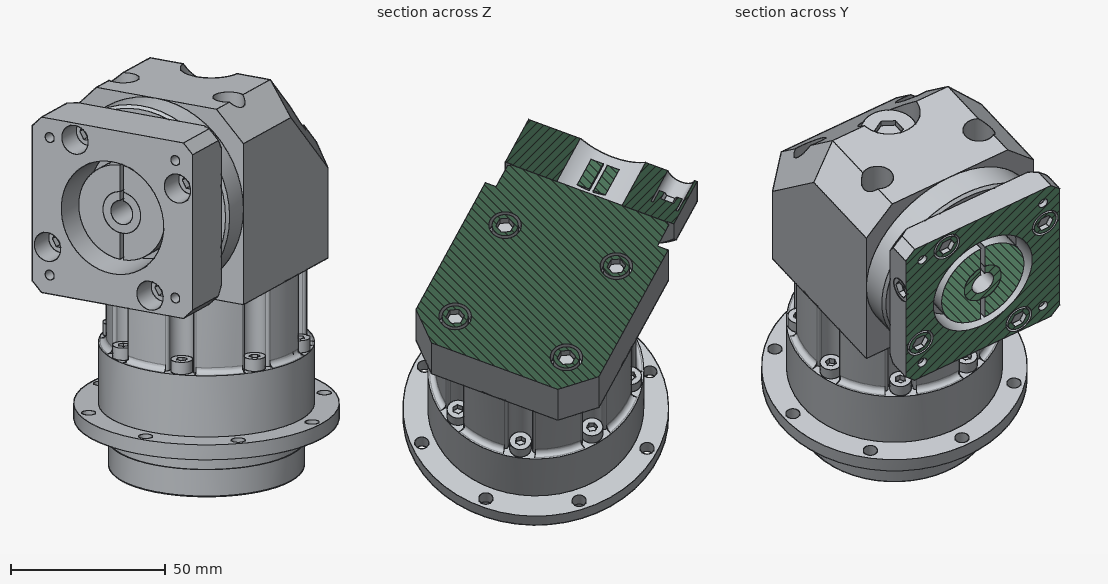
import cadquery as cq
import math

TOTAL_HEIGHT = 138.0

OUTPUT_DISC_DIAMETER = 39.9
OUTPUT_DISC_TOP = 3.0
OUTPUT_DISC_CHAMFER = 0.3
LOWER_DIAMETER = 63.5
LOWER_TOP = 12.5
LOWER_CHAMFER = 0.4
PILOT_DIAMETER = 64.0
FLANGE_DIAMETER = 86.0
FLANGE_BOTTOM = 19.6
FLANGE_THICKNESS = 5.1
FLANGE_HOLE_DIAMETER = 4.5
FLANGE_HOLE_CIRCLE_RADIUS = 39.5
FLANGE_HOLE_COUNT = 8
STAGE_DIAMETER = 70.0
STAGE_TOP = 45.5

RING_FOOT_FILLET = 2.0
RING_SCREW_COUNT = 8
RING_SCREW_FIRST_ANGLE = 15.0
RING_SCREW_CIRCLE_RADIUS = 31.0
RING_SCREW_HEAD_DIAMETER = 7.0
RING_SCREW_HEAD_HEIGHT = 4.1
RING_SCREW_HEX = 3.0
RING_SCREW_HEX_DEPTH = 2.1
SLOT_WIDTH = 8.0
SLOT_EDGE_FILLET = 1.0

ELBOW_SIZE = 65.0
ELBOW_SLOPE_LEG = 30.1
ELBOW_EDGE_CHAMFER = 10.1
COLLAR_LENGTH = 10.0
COLLAR_CHAMFER = 1.0
ELBOW_SCREW_OFFSET = 19.7
ELBOW_POCKET_DIAMETER = 10.4
ELBOW_POCKET_FLOOR = 85.5
FILL_PLUG_Y = 3.2
FILL_PLUG_DIAMETER = 18.1
FILL_PLUG_POCKET_DIAMETER = 20.1
FILL_PLUG_TOP = 130.0
FILL_PLUG_HEIGHT = 3.2
FILL_PLUG_HEX = 8.0
FILL_PLUG_HEX_DEPTH = 2.1

SCREW_HEAD_DIAMETER = 8.5
SCREW_HEAD_HEIGHT = 5.0
SCREW_HEX = 5.1
SCREW_HEX_DEPTH = 2.8

PLATE_SIZE = 59.9
PLATE_FRONT_Y = -61.0
PLATE_CORNER_CHAMFER = 3.5
PLATE_TURNED_RADIUS = 40.0
PLATE_TURNED_CHAMFER = 2.0
PLATE_BORE_DIAMETER = 38.2
PLATE_SCREW_CIRCLE_RADIUS = 28.0
PLATE_SCREW_COUNT = 4
PLATE_SCREW_FIRST_ANGLE = 30.0
PLATE_POCKET_DIAMETER = 9.8
PLATE_POCKET_DEPTH = 13.2
TAPPED_HOLE_OFFSET = 23.5
TAPPED_HOLE_DIAMETER = 3.3
TAPPED_HOLE_DEPTH = 11.0
DRILL_POINT_ANGLE = 118.0
SIDE_PLUG_DIAMETER = 8.3
SIDE_PLUG_RECESS = 0.1
SIDE_PLUG_Y = -48.7
SIDE_PLUG_RISE = 10.9
SIDE_PLUG_HEX = 5.1
SIDE_PLUG_HEX_DEPTH = 2.1

CLAMP_DIAMETER = 32.2
CLAMP_SETBACK = 6.1
CLAMP_SLIT_WIDTH = 1.4
CLAMP_BOSS_DIAMETER = 20.0
CLAMP_BOSS_LENGTH = 1.4
SHAFT_DIAMETER = 14.1
SHAFT_BORE_DIAMETER = 8.1
SHAFT_BORE_DEPTH = 13.8

RING_DIAMETER = ELBOW_SIZE
HALF_ELBOW = ELBOW_SIZE / 2
ELBOW_BOTTOM = TOTAL_HEIGHT - ELBOW_SIZE
INPUT_AXIS_Z = ELBOW_BOTTOM + HALF_ELBOW
COLLAR_FRONT_Y = -HALF_ELBOW - COLLAR_LENGTH
PLATE_THICKNESS = COLLAR_FRONT_Y - PLATE_FRONT_Y
CLAMP_FRONT_Y = PLATE_FRONT_Y + CLAMP_SETBACK
CLAMP_BACK_Y = COLLAR_FRONT_Y - CLAMP_BOSS_LENGTH


def up_cylinder(diameter, bottom, top):
    """Cylinder on the output axis between two heights."""
    return cq.Workplane("XY").workplane(offset=bottom).circle(diameter / 2).extrude(top - bottom)


def input_plane(y):
    """Plane across the input axis, drawn in X and Z, whose normal points to -Y."""
    return cq.Workplane(cq.Plane(origin=(0, y, INPUT_AXIS_Z), xDir=(1, 0, 0), normal=(0, -1, 0)))


def input_cylinder(diameter, back_y, front_y):
    """Cylinder on the input axis between two Y places."""
    return input_plane(back_y).circle(diameter / 2).extrude(back_y - front_y)


def corner_diameter(across_flats):
    """Diameter through the corners of a hexagon."""
    return across_flats / math.cos(math.pi / 6)


def screw_head(diameter, height, hexagon, hex_depth):
    """Round head standing on the XY plane, with a hexagon socket in its top."""
    head = cq.Workplane("XY").circle(diameter / 2).extrude(height)
    return head.faces(">Z").workplane().polygon(6, corner_diameter(hexagon)).cutBlind(-hex_depth)


def ring_slot():
    """Cutter for one slot on the +X side, its edges rounded over onto the ring's outside."""
    radius = RING_DIAMETER / 2
    half_width = SLOT_WIDTH / 2
    arc_center_radius = radius - SLOT_EDGE_FILLET
    wall_end_x = math.sqrt(arc_center_radius**2 - (half_width + SLOT_EDGE_FILLET) ** 2)
    rim_x = wall_end_x * radius / arc_center_radius
    rim_y = (half_width + SLOT_EDGE_FILLET) * radius / arc_center_radius
    outside_x = STAGE_DIAMETER / 2
    return (
        cq.Workplane("XY")
        .workplane(offset=STAGE_TOP)
        .moveTo(RING_SCREW_CIRCLE_RADIUS, -half_width)
        .threePointArc(
            (RING_SCREW_CIRCLE_RADIUS - half_width, 0),
            (RING_SCREW_CIRCLE_RADIUS, half_width),
        )
        .lineTo(wall_end_x, half_width)
        .radiusArc((rim_x, rim_y), -SLOT_EDGE_FILLET)
        .lineTo(outside_x, rim_y)
        .lineTo(outside_x, -rim_y)
        .lineTo(rim_x, -rim_y)
        .radiusArc((wall_end_x, -half_width), -SLOT_EDGE_FILLET)
        .close()
        .extrude(ELBOW_BOTTOM - STAGE_TOP)
    )


def ring_screw():
    """Screw head on the +X side, standing on the stage."""
    head = screw_head(
        RING_SCREW_HEAD_DIAMETER, RING_SCREW_HEAD_HEIGHT, RING_SCREW_HEX, RING_SCREW_HEX_DEPTH
    )
    return head.translate((RING_SCREW_CIRCLE_RADIUS, 0, STAGE_TOP))


def slotted_ring():
    """Upper cylinder with a filleted foot, and one slot with its screw head at each place."""
    radius = RING_DIAMETER / 2
    ring = (
        cq.Workplane("XZ")
        .moveTo(0, STAGE_TOP)
        .lineTo(radius + RING_FOOT_FILLET, STAGE_TOP)
        .radiusArc((radius, STAGE_TOP + RING_FOOT_FILLET), RING_FOOT_FILLET)
        .lineTo(radius, ELBOW_BOTTOM)
        .lineTo(0, ELBOW_BOTTOM)
        .close()
        .revolve(360, (0, 0), (0, 1))
    )
    for index in range(RING_SCREW_COUNT):
        angle = RING_SCREW_FIRST_ANGLE - 90 + index * 360 / RING_SCREW_COUNT
        ring = ring.cut(ring_slot().rotate((0, 0, 0), (0, 0, 1), angle))
        ring = ring.union(ring_screw().rotate((0, 0, 0), (0, 0, 1), angle))
    return ring


def mounting_flange():
    flange_top = FLANGE_BOTTOM + FLANGE_THICKNESS
    return (
        up_cylinder(FLANGE_DIAMETER, FLANGE_BOTTOM, flange_top)
        .faces(">Z")
        .workplane()
        .polarArray(FLANGE_HOLE_CIRCLE_RADIUS, 0, 360, FLANGE_HOLE_COUNT)
        .hole(FLANGE_HOLE_DIAMETER)
    )


def make_output_stage():
    """Stepped output end, mounting flange, stage and slotted ring."""
    disc = up_cylinder(OUTPUT_DISC_DIAMETER, 0, OUTPUT_DISC_TOP).faces("<Z").chamfer(OUTPUT_DISC_CHAMFER)
    lower = up_cylinder(LOWER_DIAMETER, OUTPUT_DISC_TOP, LOWER_TOP).faces("<Z").chamfer(LOWER_CHAMFER)
    pilot = up_cylinder(PILOT_DIAMETER, LOWER_TOP, FLANGE_BOTTOM)
    stage = up_cylinder(STAGE_DIAMETER, FLANGE_BOTTOM + FLANGE_THICKNESS, STAGE_TOP)
    return disc.union(lower).union(pilot).union(mounting_flange()).union(stage).union(slotted_ring())


def elbow_block():
    """Cube with its top back corner cut off, chamfered along the outline of both sides."""
    top = TOTAL_HEIGHT
    block = (
        cq.Workplane("YZ")
        .moveTo(-HALF_ELBOW, ELBOW_BOTTOM)
        .lineTo(HALF_ELBOW, ELBOW_BOTTOM)
        .lineTo(HALF_ELBOW, top - ELBOW_SLOPE_LEG)
        .lineTo(HALF_ELBOW - ELBOW_SLOPE_LEG, top)
        .lineTo(-HALF_ELBOW, top)
        .close()
        .extrude(HALF_ELBOW, both=True)
    )
    sides = block.faces("<X or >X")
    return sides.edges("not(<Z or <Y)").chamfer(ELBOW_EDGE_CHAMFER)


def elbow_screw_places():
    return [
        (x, y)
        for x in (-ELBOW_SCREW_OFFSET, ELBOW_SCREW_OFFSET)
        for y in (-ELBOW_SCREW_OFFSET, ELBOW_SCREW_OFFSET)
    ]


def make_elbow():
    """Elbow block with a round collar for the input, sunk screws and the fill plug."""
    collar = input_cylinder(ELBOW_SIZE, -HALF_ELBOW, COLLAR_FRONT_Y).faces("<Y").chamfer(COLLAR_CHAMFER)
    elbow = elbow_block().union(collar)

    head = screw_head(SCREW_HEAD_DIAMETER, SCREW_HEAD_HEIGHT, SCREW_HEX, SCREW_HEX_DEPTH)
    head = head.rotate((0, 0, 0), (0, 0, 1), 90)
    pocket = up_cylinder(ELBOW_POCKET_DIAMETER, ELBOW_POCKET_FLOOR, TOTAL_HEIGHT)
    for x, y in elbow_screw_places():
        elbow = elbow.cut(pocket.translate((x, y, 0)))
        elbow = elbow.union(head.translate((x, y, ELBOW_POCKET_FLOOR)))

    plug_floor = FILL_PLUG_TOP - FILL_PLUG_HEIGHT
    plug_pocket = up_cylinder(FILL_PLUG_POCKET_DIAMETER, plug_floor, TOTAL_HEIGHT)
    plug = screw_head(FILL_PLUG_DIAMETER, FILL_PLUG_HEIGHT, FILL_PLUG_HEX, FILL_PLUG_HEX_DEPTH)
    plug = plug.rotate((0, 0, 0), (0, 0, 1), 90)
    elbow = elbow.cut(plug_pocket.translate((0, FILL_PLUG_Y, 0)))
    elbow = elbow.union(plug.translate((0, FILL_PLUG_Y, plug_floor)))

    return elbow.cut(input_cylinder(SHAFT_DIAMETER, -HALF_ELBOW, COLLAR_FRONT_Y))


def plate_blank():
    """Square plate with chamfered corners, turned down behind the corners."""
    blank = (
        input_plane(COLLAR_FRONT_Y)
        .rect(PLATE_SIZE, PLATE_SIZE)
        .extrude(PLATE_THICKNESS)
        .edges("|Y")
        .chamfer(PLATE_CORNER_CHAMFER)
    )
    turned = input_cylinder(2 * PLATE_TURNED_RADIUS, COLLAR_FRONT_Y, PLATE_FRONT_Y)
    return blank.intersect(turned.faces(">Y").chamfer(PLATE_TURNED_CHAMFER))


def tapped_holes():
    """Four blind holes with drill points, sunk from the plate's front."""
    radius = TAPPED_HOLE_DIAMETER / 2
    point_length = radius / math.tan(math.radians(DRILL_POINT_ANGLE / 2))
    hole = (
        cq.Workplane("XY")
        .lineTo(radius, 0)
        .lineTo(radius, TAPPED_HOLE_DEPTH)
        .lineTo(0, TAPPED_HOLE_DEPTH + point_length)
        .close()
        .revolve(360, (0, 0), (0, 1))
    )
    holes = cq.Workplane("XY")
    for x in (-TAPPED_HOLE_OFFSET, TAPPED_HOLE_OFFSET):
        for z in (-TAPPED_HOLE_OFFSET, TAPPED_HOLE_OFFSET):
            holes = holes.add(hole.translate((x, PLATE_FRONT_Y, INPUT_AXIS_Z + z)))
    return holes.combine()


def plate_screw_places():
    """X and Z of the plate screws, a quarter turn apart."""
    places = []
    for index in range(PLATE_SCREW_COUNT):
        angle = math.radians(PLATE_SCREW_FIRST_ANGLE + index * 360 / PLATE_SCREW_COUNT)
        x = PLATE_SCREW_CIRCLE_RADIUS * math.cos(angle)
        z = PLATE_SCREW_CIRCLE_RADIUS * math.sin(angle) + INPUT_AXIS_Z
        places.append((x, z))
    return places


def side_plug_socket():
    """Shallow round recess and hexagon socket of the plug in the plate's -X side."""
    side = cq.Workplane(
        cq.Plane(
            origin=(-PLATE_SIZE / 2, SIDE_PLUG_Y, INPUT_AXIS_Z + SIDE_PLUG_RISE),
            xDir=(0, -1, 0),
            normal=(1, 0, 0),
        )
    )
    recess = side.circle(SIDE_PLUG_DIAMETER / 2).extrude(SIDE_PLUG_RECESS)
    socket = side.polygon(6, corner_diameter(SIDE_PLUG_HEX)).extrude(SIDE_PLUG_HEX_DEPTH)
    return recess.union(socket)


def make_motor_plate():
    """Plate with the motor's bore, sunk screws, tapped holes and a flush side plug."""
    plate = plate_blank()
    plate = plate.cut(input_cylinder(PLATE_BORE_DIAMETER, COLLAR_FRONT_Y, PLATE_FRONT_Y))
    plate = plate.cut(tapped_holes())

    floor_y = PLATE_FRONT_Y + PLATE_POCKET_DEPTH
    pocket = cq.Workplane("XZ").circle(PLATE_POCKET_DIAMETER / 2).extrude(PLATE_POCKET_DEPTH)
    head = screw_head(SCREW_HEAD_DIAMETER, SCREW_HEAD_HEIGHT, SCREW_HEX, SCREW_HEX_DEPTH)
    head = head.rotate((0, 0, 0), (1, 0, 0), 90)
    for x, z in plate_screw_places():
        plate = plate.cut(pocket.translate((x, floor_y, z)))
        plate = plate.union(head.translate((x, floor_y, z)))

    return plate.cut(side_plug_socket())


def make_clamp_ring():
    """Ring split across its width, its halves joined by a short boss behind them."""
    ring = input_cylinder(CLAMP_DIAMETER, CLAMP_BACK_Y, CLAMP_FRONT_Y)
    slit = (
        input_plane(CLAMP_BACK_Y)
        .rect(CLAMP_SLIT_WIDTH, CLAMP_DIAMETER)
        .extrude(CLAMP_BACK_Y - CLAMP_FRONT_Y)
    )
    boss = input_cylinder(CLAMP_BOSS_DIAMETER, COLLAR_FRONT_Y, CLAMP_BACK_Y)
    shaft_hole = input_cylinder(SHAFT_DIAMETER, COLLAR_FRONT_Y, CLAMP_FRONT_Y)
    return ring.cut(slit).union(boss).cut(shaft_hole)


def make_input_shaft():
    """Hollow shaft through the clamp ring into the elbow, slit along the top of its bore."""
    shaft = input_cylinder(SHAFT_DIAMETER, -HALF_ELBOW, CLAMP_FRONT_Y)
    bore_floor_y = CLAMP_FRONT_Y + SHAFT_BORE_DEPTH
    shaft = shaft.cut(input_cylinder(SHAFT_BORE_DIAMETER, bore_floor_y, CLAMP_FRONT_Y))
    slit_height = SHAFT_DIAMETER / 2
    slit = (
        input_plane(CLAMP_BACK_Y)
        .center(0, slit_height / 2)
        .rect(CLAMP_SLIT_WIDTH, slit_height)
        .extrude(CLAMP_BACK_Y - CLAMP_FRONT_Y)
    )
    return shaft.cut(slit)


output_stage = make_output_stage()
elbow = make_elbow()
motor_plate = make_motor_plate()
clamp_ring = make_clamp_ring()
input_shaft = make_input_shaft()

bodies = [output_stage, elbow, motor_plate, clamp_ring, input_shaft]
result = cq.Compound.makeCompound([body.solids().val() for body in bodies])